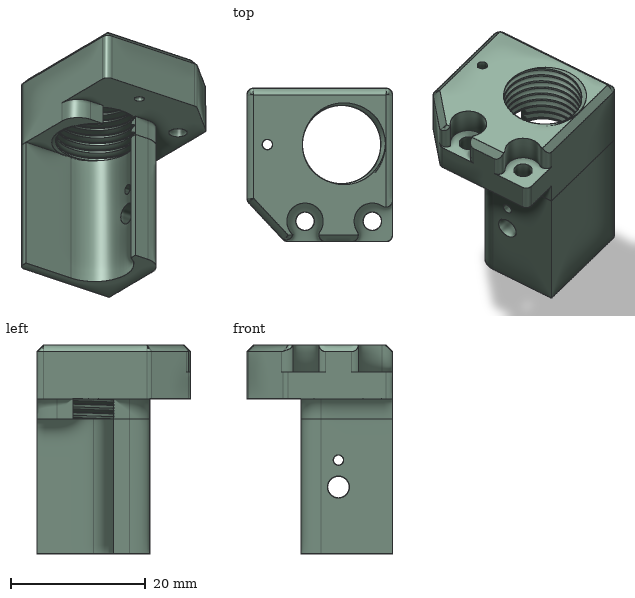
import cadquery as cq
import math


total_height = 31.0
post_height = 20.0
collar_height = 3.0
plate_bottom = post_height + collar_height
plate_thickness = total_height - plate_bottom

plate_width = 21.6
plate_depth = 22.8
right_x = 7.55
back_y = 8.37
left_x = right_x - plate_width
front_y = back_y - plate_depth
cut_corner_width = 5.67
cut_corner_depth = 6.05
edge_radius = 1.0
edge_chamfer = 1.0

post_left_x = -6.05
post_front_y = -back_y
post_radius = 3.0
window_half_width = 3.0

bore_radius = 11.6 / 2
root_radius = 13.0 / 2
thread_turns = 8.8
pitch = (total_height - post_height) / thread_turns
root_flat = 0.12
flank_angle = 30.0
groove_depth = root_radius - bore_radius
groove_overlap = 0.1
thread_phase = 20.0

small_hole_diameter = 1.5
plate_hole_x = -11.0
post_hole_x = -0.45
post_small_hole_z = 13.92
post_large_hole_z = 9.92
post_large_hole_diameter = 3.2

screw_diameter = 2.7
left_screw_x = -5.42
screw_spacing = 9.98
right_screw_x = left_screw_x + screw_spacing
screw_y = -11.38
seat_radius = 2.7
seat_depth = 4.0
lip_radius = 1.0
corner_lip_distance = 0.8
seat_floor = total_height - seat_depth

clearance = 1.55


def prism(points, bottom, height):
    """Upright prism over a polygon."""
    return cq.Workplane("XY", origin=(0, 0, bottom)).polyline(points).close().extrude(height)


def cylinder(x, y, radius, bottom, height):
    """Upright cylinder."""
    return cq.Workplane("XY", origin=(x, y, bottom)).circle(radius).extrude(height)


def block(x_min, x_max, y_min, y_max, bottom, height):
    """Upright box between two corners."""
    return prism([(x_min, y_min), (x_max, y_min), (x_max, y_max), (x_min, y_max)], bottom, height)


def plate_blank():
    """Plate with one cut corner, rounded upright edges and a chamfered top."""
    outline = [
        (left_x, back_y),
        (left_x, front_y + cut_corner_depth),
        (left_x + cut_corner_width, front_y),
        (right_x, front_y),
        (right_x, back_y),
    ]
    plate = prism(outline, plate_bottom, plate_thickness).edges("|Z").fillet(edge_radius)
    return plate.faces(">Z").edges().chamfer(edge_chamfer)


def column(bottom, height):
    """Solid column with the outline shared by the post and the collar."""
    body = block(post_left_x, right_x, post_front_y, back_y, bottom, height)
    body = body.edges("|Z and <X").fillet(post_radius)
    return body.edges("|Z and >X and >Y").fillet(edge_radius)


def thread_groove():
    """Right-handed V groove with a flat root, longer than the bore at both ends."""
    start_z = post_height - 2 * pitch
    length = total_height + 2 * pitch - start_z
    mouth_radius = bore_radius - groove_overlap
    flank_rise = (groove_depth + groove_overlap) * math.tan(math.radians(flank_angle))
    mouth_half = root_flat / 2 + flank_rise
    turns_to_top = (total_height - start_z) / pitch
    start_angle = thread_phase - 360 * turns_to_top
    path = cq.Wire.makeHelix(pitch, length, bore_radius)
    profile = cq.Workplane("XZ").polyline([
        (mouth_radius, -mouth_half),
        (root_radius, -root_flat / 2),
        (root_radius, root_flat / 2),
        (mouth_radius, mouth_half),
    ]).close()
    groove = profile.sweep(cq.Workplane(path), isFrenet=True)
    return groove.rotate((0, 0, 0), (0, 0, 1), start_angle).translate((0, 0, start_z))


def screw_seat(screw_x, relief, lips):
    """Round recess that opens outward through a relief between convex lips."""
    seat = cylinder(screw_x, screw_y, seat_radius, seat_floor, seat_depth)
    opening = prism([(screw_x, screw_y)] + relief, seat_floor, seat_depth)
    for lip_x, lip_y in lips:
        opening = opening.cut(cylinder(lip_x, lip_y, lip_radius, seat_floor, seat_depth))
    return seat.union(opening)


def screw_seats():
    """The left seat opens to the front, the right one to the front and the right."""
    outside_y = front_y - clearance
    outside_x = right_x + clearance
    reach = seat_radius + lip_radius

    front_lip_y = front_y + lip_radius
    front_lip_offset = math.sqrt(reach**2 - (screw_y - front_lip_y) ** 2)
    left_seat_lip = (left_screw_x + front_lip_offset, front_lip_y)
    right_seat_lip = (right_screw_x - front_lip_offset, front_lip_y)

    side_lip_x = right_x - lip_radius
    side_lip = (side_lip_x, screw_y + math.sqrt(reach**2 - (side_lip_x - right_screw_x) ** 2))

    slope_length = math.hypot(cut_corner_width, cut_corner_depth)
    along = (-cut_corner_width / slope_length, cut_corner_depth / slope_length)
    inward = (cut_corner_depth / slope_length, cut_corner_width / slope_length)
    foot = (
        left_x + cut_corner_width + corner_lip_distance * along[0],
        front_y + corner_lip_distance * along[1],
    )
    corner_lip = (foot[0] + lip_radius * inward[0], foot[1] + lip_radius * inward[1])
    beyond_foot = (foot[0] - clearance * inward[0], foot[1] - clearance * inward[1])

    left_relief = [corner_lip, beyond_foot, (left_seat_lip[0], outside_y), left_seat_lip]
    right_relief = [
        right_seat_lip,
        (right_seat_lip[0], outside_y),
        (outside_x, outside_y),
        (outside_x, side_lip[1]),
        side_lip,
    ]
    left_seat = screw_seat(left_screw_x, left_relief, [corner_lip, left_seat_lip])
    right_seat = screw_seat(right_screw_x, right_relief, [right_seat_lip, side_lip])
    return left_seat, right_seat


def make_head():
    """Plate with a collar below it, a threaded bore and two screw seats."""
    body = plate_blank().union(column(post_height, collar_height))
    body = body.cut(thread_groove())
    body = body.cut(cylinder(0, 0, bore_radius, post_height, total_height - post_height))
    body = body.cut(block(
        post_left_x - clearance, 0, -window_half_width, window_half_width, post_height, collar_height
    ))
    for seat in screw_seats():
        body = body.cut(seat)
    for screw_x in (left_screw_x, right_screw_x):
        body = body.cut(cylinder(screw_x, screw_y, screw_diameter / 2, plate_bottom, plate_thickness))
    body = body.cut(cylinder(plate_hole_x, 0, small_hole_diameter / 2, plate_bottom, plate_thickness))
    return body


def make_post():
    """Post with a smooth bore that opens to the back and to the left."""
    body = column(0, post_height)
    body = body.cut(cylinder(0, 0, bore_radius, 0, post_height))
    body = body.cut(block(0, bore_radius, 0, back_y, 0, post_height))
    body = body.cut(block(post_left_x, 0, -window_half_width, back_y, 0, post_height))
    cross_holes = (
        (post_small_hole_z, small_hole_diameter),
        (post_large_hole_z, post_large_hole_diameter),
    )
    for hole_z, diameter in cross_holes:
        hole = cq.Workplane("XZ", origin=(post_hole_x, 0, hole_z)).circle(diameter / 2).extrude(-post_front_y)
        body = body.cut(hole)
    return body


head = make_head()
post = make_post()

result = cq.Compound.makeCompound([head.val(), post.val()])